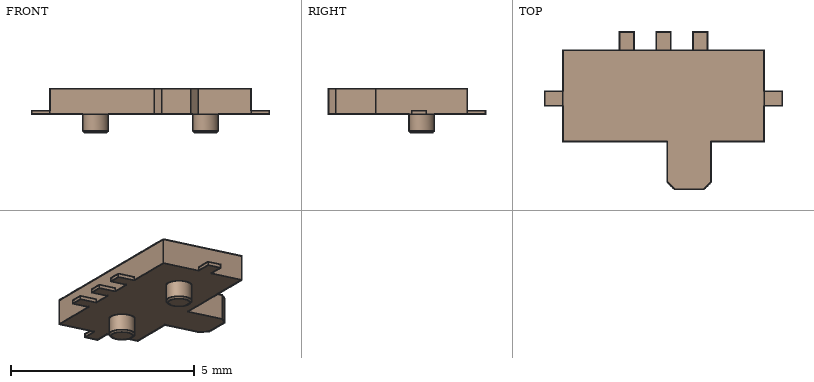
import cadquery as cq

overall_length = 6.5
tab_length = 0.5
body_length = overall_length - 2 * tab_length
body_width = 2.5
body_height = 0.7

tab_width = 0.4
tab_thickness = 0.1
side_tab_y = -0.07
terminal_pitch = 1.0

lever_length = 1.3
lever_width = 1.2
lever_x = 0.7
lever_chamfer = 0.2

pin_diameter = 0.7
pin_length = 0.5
pin_spacing = 3 * terminal_pitch
pin_chamfer = 0.05

overlap = 0.065


def block(x_min, x_max, y_min, y_max, height):
    """Box between the given limits, standing on the Z = 0 plane."""
    box = cq.Workplane("XY").box(x_max - x_min, y_max - y_min, height, centered=False)
    return box.translate((x_min, y_min, 0))


def make_body():
    return cq.Workplane("XY").box(body_length, body_width, body_height, centered=(True, True, False))


def make_lever():
    left = lever_x - lever_width / 2
    right = lever_x + lever_width / 2
    root = -body_width / 2
    tip = root - lever_length
    lever = block(left, right, tip, root + overlap, body_height)
    return lever.faces("<Y").edges("|Z").chamfer(lever_chamfer)


def make_side_tabs():
    """One strip passing through the housing and showing at both ends."""
    half = overall_length / 2
    return block(-half, half, side_tab_y - tab_width / 2, side_tab_y + tab_width / 2, tab_thickness)


def make_terminal(x):
    back = body_width / 2
    return block(x - tab_width / 2, x + tab_width / 2, back - overlap, back + tab_length, tab_thickness)


def make_pin(x):
    pin = cq.Workplane("XY", origin=(x, 0, -pin_length)).circle(pin_diameter / 2)
    return pin.extrude(pin_length + overlap).faces("<Z").chamfer(pin_chamfer)


result = make_body().union(make_lever()).union(make_side_tabs())
for terminal_x in (-terminal_pitch, 0, terminal_pitch):
    result = result.union(make_terminal(terminal_x))
for pin_x in (-pin_spacing / 2, pin_spacing / 2):
    result = result.union(make_pin(pin_x))